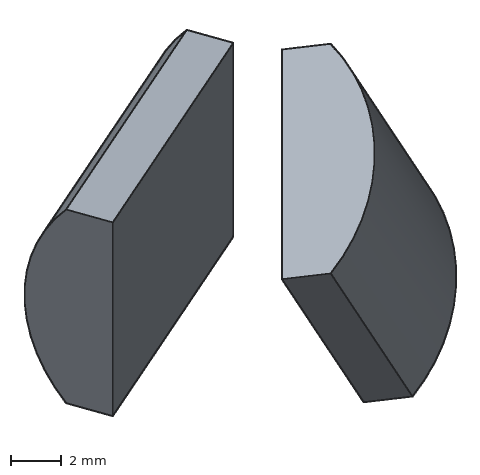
import cadquery as cq

length = 12.0
height = 10.0
edge_thickness = 2.0
bulge = 1.8

half_height = height / 2

profile = (
    cq.Workplane("XZ")
    .moveTo(0, -half_height)
    .lineTo(0, half_height)
    .lineTo(-edge_thickness, half_height)
    .threePointArc(
        (-edge_thickness - bulge, 0),
        (-edge_thickness, -half_height),
    )
    .close()
)

result = profile.extrude(length / 2, both=True)